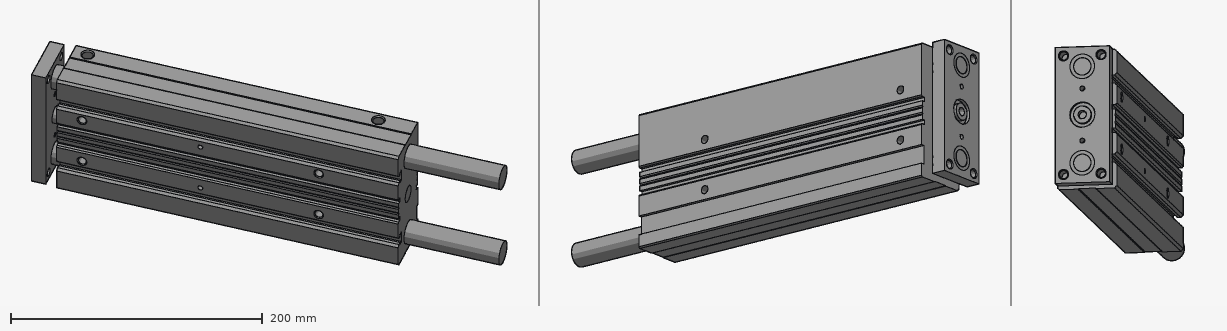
import cadquery as cq

total_length = 389.5
plate_thickness = 12.0
housing_start = 22.0
housing_length = 288.0

housing_depth = 48.0
housing_height = 112.0
front_edge_chamfer = 2.0
back_edge_chamfer = 1.0
face_y = housing_depth / 2

side_channel_width = 13.5
side_channel_slope = 0.8
side_channel_depth = 0.5

t_slot_z = 32.0
t_slot_mouth_width = 6.2
t_slot_flare_width = 10.0
t_slot_flare_depth = 2.0
t_slot_lip = 4.5
t_slot_cavity_width = 9.7
t_slot_cavity_depth = 3.5

back_groove_z = -37.0
back_groove_width = 15.5
back_groove_depth = 3.0

band_width = 25.0
band_chamfer = 1.0
rib_width = 15.5
rib_setback = 1.0
band_slot_depth = 4.0
rib_groove_z = 2.92
rib_groove_width = 2.5
rib_groove_depth = 0.6

mount_hole_diameter = 6.5
mount_hole_rim_diameter = 8.0
mount_hole_z = 21.0
mount_hole_first_x = 43.2
mount_hole_spacing = 199.5
dowel_diameter = 4.0
dowel_depth = 6.0

port_y = 15.0
port_first_x = 34.3
port_spacing = 245.0
port_diameter = 9.0
port_rim_diameter = 11.0
port_depth = 7.8
port_cone_depth = 2.0
port_passage_diameter = 4.0
port_passage_depth = 7.8

plate_depth = 44.0
plate_height = 110.0
plate_hole_diameter = 6.5
plate_hole_rim_diameter = 8.0
plate_hole_y = 15.0
plate_hole_z = 48.0
plate_recess_diameter = 20.3
plate_recess_depth = 3.0

guide_rod_z = 39.0
guide_rod_diameter = 20.0
guide_socket_diameter = 14.0
guide_socket_depth = 0.5
piston_rod_diameter = 14.0
piston_socket_diameter = 6.5
piston_socket_depth = 6.0

housing_end = housing_start + housing_length


def cylinder_along_x(diameter, start, end, z=0.0):
    return cq.Workplane("YZ", origin=(start, 0, z)).circle(diameter / 2).extrude(end - start)


def back_groove():
    return (
        cq.Workplane("YZ", origin=(housing_start, 0, back_groove_z))
        .center(face_y - back_groove_depth / 2, 0)
        .rect(back_groove_depth, back_groove_width)
        .extrude(housing_length)
    )


def t_slot(z):
    """T-slot along the -Y face with a flared mouth."""
    mouth = t_slot_mouth_width / 2
    flare = t_slot_flare_width / 2
    cavity = t_slot_cavity_width / 2
    flare_y = -face_y + t_slot_flare_depth
    lip_y = -face_y + t_slot_lip
    floor_y = lip_y + t_slot_cavity_depth
    lower_half = [
        (-face_y, -flare),
        (flare_y, -mouth),
        (lip_y, -mouth),
        (lip_y, -cavity),
        (floor_y, -cavity),
    ]
    upper_half = [(y, -half_width) for y, half_width in reversed(lower_half)]
    return (
        cq.Workplane("YZ", origin=(housing_start, 0, z))
        .polyline(lower_half + upper_half)
        .close()
        .extrude(housing_length)
    )


def middle_band():
    """Material removed from the -Y face along the middle band."""
    slot_y = -face_y + band_slot_depth
    rib_y = -face_y + rib_setback
    half_band = band_width / 2
    wall_z = half_band - band_chamfer
    lower_half = [
        (-face_y, -half_band),
        (-face_y + band_chamfer, -wall_z),
        (slot_y, -wall_z),
        (slot_y, -rib_width / 2),
        (rib_y, -rib_width / 2),
        (rib_y, -rib_groove_z - rib_groove_width / 2),
        (rib_y + rib_groove_depth, -rib_groove_z),
        (rib_y, -rib_groove_z + rib_groove_width / 2),
    ]
    upper_half = [(y, -z) for y, z in reversed(lower_half)]
    return (
        cq.Workplane("YZ", origin=(housing_start, 0, 0))
        .polyline(lower_half + upper_half)
        .close()
        .extrude(housing_length)
    )


def side_channel():
    """Shallow channel in the top face, with a sloped wall on its +Y side."""
    top = housing_height / 2
    floor = top - side_channel_depth
    return (
        cq.Workplane("YZ", origin=(housing_start, 0, 0))
        .moveTo(-side_channel_width / 2, top)
        .lineTo(-side_channel_width / 2, floor)
        .lineTo(side_channel_width / 2, floor)
        .lineTo(side_channel_width / 2 + side_channel_slope, top)
        .close()
        .extrude(housing_length)
    )


def countersunk_hole(diameter, rim_diameter, depth):
    """Cutter along +X from the origin, wider at its start by a 45 degree countersink."""
    rim = (rim_diameter - diameter) / 2
    hole = cq.Workplane("YZ").circle(diameter / 2).extrude(depth)
    countersink = cq.Workplane("YZ").circle(rim_diameter / 2).extrude(rim, taper=45)
    return hole.union(countersink)


def port(x):
    """Chamfered port bore ending in a cone and a narrow passage."""
    top = housing_height / 2
    outer = port_diameter / 2
    rim = port_rim_diameter / 2
    rim_bottom = top - (rim - outer)
    inner = port_passage_diameter / 2
    cone_top = top - port_depth
    cone_end = cone_top - port_cone_depth
    bottom = cone_end - port_passage_depth
    return (
        cq.Workplane("XZ", origin=(x, port_y, 0))
        .moveTo(0, top)
        .lineTo(rim, top)
        .lineTo(outer, rim_bottom)
        .lineTo(outer, cone_top)
        .lineTo(inner, cone_end)
        .lineTo(inner, bottom)
        .lineTo(0, bottom)
        .close()
        .revolve(360, (0, 0, 0), (0, 1, 0))
    )


def make_housing():
    body = (
        cq.Workplane("YZ", origin=(housing_start, 0, 0))
        .rect(housing_depth, housing_height)
        .extrude(housing_length)
        .edges("|X and <Y")
        .chamfer(front_edge_chamfer)
        .edges("|X and >Y")
        .chamfer(back_edge_chamfer)
    )
    channel = side_channel()
    body = body.cut(channel).cut(channel.mirror("XY"))
    for side in (-1, 1):
        body = body.cut(t_slot(side * t_slot_z))

    band = middle_band()
    body = body.cut(band).cut(band.mirror("XZ"))
    body = body.cut(back_groove())

    mount_hole = countersunk_hole(mount_hole_diameter, mount_hole_rim_diameter, housing_depth)
    mount_hole = mount_hole.rotate((0, 0, 0), (0, 0, 1), 90)
    last_x = mount_hole_first_x + mount_hole_spacing
    middle_x = mount_hole_first_x + mount_hole_spacing / 2
    for z in (-mount_hole_z, mount_hole_z):
        for x in (mount_hole_first_x, last_x):
            body = body.cut(mount_hole.translate((x, -face_y, z)))
        dowel = cq.Workplane("XZ", origin=(middle_x, dowel_depth - face_y, z)).circle(dowel_diameter / 2)
        body = body.cut(dowel.extrude(dowel_depth))

    for x in (port_first_x, port_first_x + port_spacing):
        body = body.cut(port(x))

    for z in (-guide_rod_z, guide_rod_z):
        body = body.cut(cylinder_along_x(guide_rod_diameter, housing_start, housing_end, z))
    return body.cut(cylinder_along_x(piston_rod_diameter, housing_start, housing_end))


def make_end_plate():
    plate = cq.Workplane("YZ").rect(plate_depth, plate_height).extrude(plate_thickness)
    plate_hole = countersunk_hole(plate_hole_diameter, plate_hole_rim_diameter, plate_thickness)
    for z in (-plate_hole_z, plate_hole_z):
        for y in (-plate_hole_y, plate_hole_y):
            plate = plate.cut(plate_hole.translate((0, y, z)))
    for z in (-mount_hole_z, mount_hole_z):
        plate = plate.cut(cylinder_along_x(dowel_diameter, 0, plate_thickness, z))
    for z in (-guide_rod_z, guide_rod_z):
        plate = plate.cut(cylinder_along_x(guide_rod_diameter, 0, plate_thickness, z))
    plate = plate.cut(cylinder_along_x(piston_rod_diameter, 0, plate_thickness))
    return plate.cut(cylinder_along_x(plate_recess_diameter, 0, plate_recess_depth))


def make_guide_rod(z):
    rod = cylinder_along_x(guide_rod_diameter, 0, total_length, z)
    return rod.cut(cylinder_along_x(guide_socket_diameter, 0, guide_socket_depth, z))


def make_piston_rod():
    rod = cylinder_along_x(piston_rod_diameter, 0, housing_end)
    return rod.cut(cylinder_along_x(piston_socket_diameter, 0, piston_socket_depth))


housing = make_housing()
end_plate = make_end_plate()
piston_rod = make_piston_rod()
guide_rods = [make_guide_rod(z) for z in (-guide_rod_z, guide_rod_z)]

result = cq.Compound.makeCompound(
    [housing.val(), end_plate.val(), piston_rod.val(), *[rod.val() for rod in guide_rods]]
)